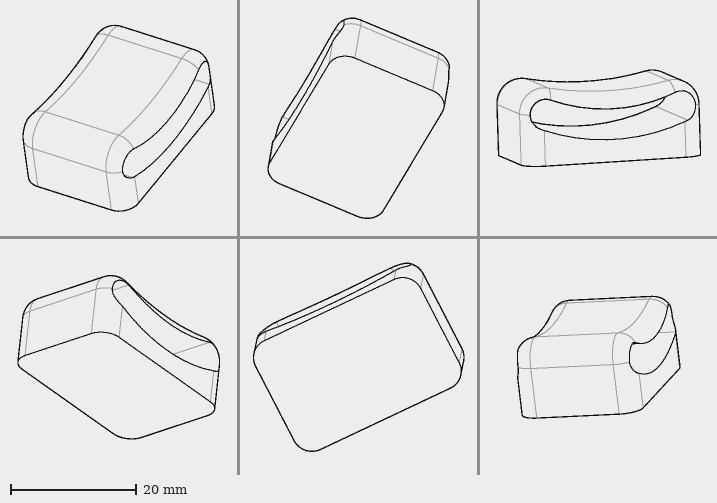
import cadquery as cq
import math

length = 20.0
width = 29.53
top_middle_height = 11.07
top_radius = 47.25
shoulder_radius = 4.0
end_radius = 3.15

slot_floor_height = 3.6
slot_height = 4.9
slot_half_width = 13.65
slot_floor_radius = 32.48

tilt = 6.9


def block():
    """Block with a hollowed top, round shoulders and round end edges."""
    half_width = width / 2
    hollow_center = top_middle_height + top_radius
    shoulder_y = half_width - shoulder_radius
    center_distance = top_radius + shoulder_radius
    shoulder_z = hollow_center - math.sqrt(center_distance**2 - shoulder_y**2)

    slope = math.asin(shoulder_y / center_distance)
    tangent_y = top_radius * math.sin(slope)
    tangent_z = hollow_center - top_radius * math.cos(slope)

    middle_angle = (math.pi / 2 + slope) / 2
    middle_y = shoulder_y + shoulder_radius * math.cos(middle_angle)
    middle_z = shoulder_z + shoulder_radius * math.sin(middle_angle)

    body = (
        cq.Workplane("YZ")
        .moveTo(-half_width, 0)
        .lineTo(half_width, 0)
        .lineTo(half_width, shoulder_z)
        .threePointArc((middle_y, middle_z), (tangent_y, tangent_z))
        .threePointArc((0, top_middle_height), (-tangent_y, tangent_z))
        .threePointArc((-middle_y, middle_z), (-half_width, shoulder_z))
        .close()
        .extrude(length / 2, both=True)
    )
    return body.faces("<X or >X").edges("not <Z").fillet(end_radius)


def slot():
    """Cutter of constant height along an arc, with fully round ends."""
    end_round = slot_height / 2
    arc_center = slot_floor_height + slot_floor_radius
    middle_radius = slot_floor_radius - end_round
    roof_radius = slot_floor_radius - slot_height
    end_angle = math.asin((slot_half_width - end_round) / middle_radius)

    def arc_point(radius, angle):
        return (radius * math.sin(angle), arc_center - radius * math.cos(angle))

    def end_tip(side):
        """Outermost point of an end arc, along the tangent of the slot's middle arc."""
        y, z = arc_point(middle_radius, side * end_angle)
        return (y + side * end_round * math.cos(end_angle), z + end_round * math.sin(end_angle))

    return (
        cq.Workplane("YZ")
        .moveTo(*arc_point(slot_floor_radius, -end_angle))
        .threePointArc(arc_point(slot_floor_radius, 0), arc_point(slot_floor_radius, end_angle))
        .threePointArc(end_tip(1), arc_point(roof_radius, end_angle))
        .threePointArc(arc_point(roof_radius, 0), arc_point(roof_radius, -end_angle))
        .threePointArc(end_tip(-1), arc_point(slot_floor_radius, -end_angle))
        .close()
        .extrude(length, both=True)
    )


result = block().cut(slot()).rotate((0, 0, 0), (0, 1, 0), -tilt)